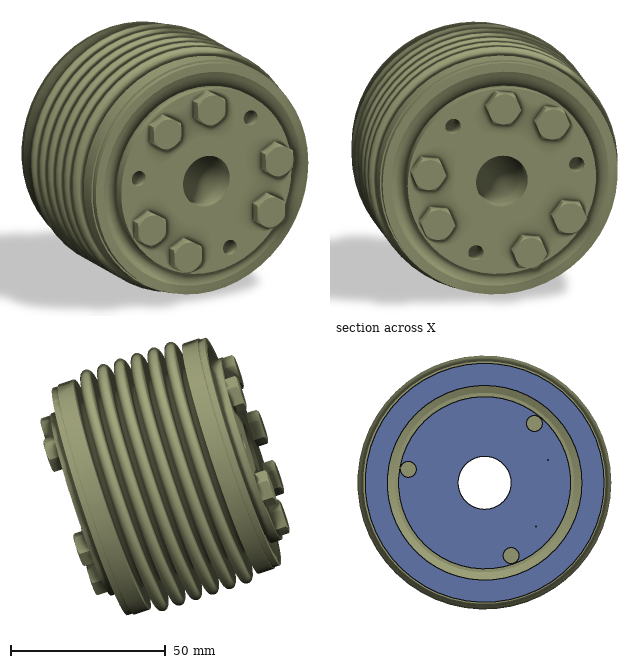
import cadquery as cq
import math

bellows_diameter = 82.0
overall_length = 66.0

hub_diameter = 62.0
hub_half_length = 29.1
hub_plate_thickness = 3.5
neck_diameter = 55.8
bore_diameter = 17.0

rim_diameter = 78.3
rim_inner_x = 18.5
rim_outer_x = 23.9
lip_diameter = 77.3
lip_outer_x = 26.1

recess_diameter = 71.5
recess_floor_diameter = 58.0
recess_depth = 3.0

crest_count = 6
crest_pitch = 5.7
crest_radius = 1.7
valley_radius = crest_pitch / 2 - crest_radius
root_diameter = 61.0

place_count = 9
place_circle_radius = 25.0
hole_diameter = 5.0
hole_depth = 10.0
head_width = 10.0
head_corner_diameter = head_width / math.cos(math.radians(30))
head_height = overall_length / 2 - hub_half_length
head_chamfer_angle = 30
left_head_turn = 7.5
right_head_turn = 30


def place_points(holes):
    """Return the (Y, Z) centres of the pin holes, or of the bolts."""
    points = []
    for index in range(place_count):
        if (index % 3 == 1) == holes:
            angle = math.radians(90 - index * 360 / place_count)
            points.append((place_circle_radius * math.cos(angle), place_circle_radius * math.sin(angle)))
    return points


def disc(diameter, start_x, end_x):
    """Return a solid cylinder on the X axis."""
    return cq.Workplane("YZ", origin=(start_x, 0, 0)).circle(diameter / 2).extrude(end_x - start_x)


def make_bellows():
    """Revolve the wavy outline: round crests joined by round valleys."""
    crest_radial = bellows_diameter / 2 - crest_radius
    valley_radial = root_diameter / 2 + valley_radius
    first_crest_x = -crest_pitch * (crest_count - 1) / 2
    wave_start_x = first_crest_x - crest_radius - 2 * valley_radius
    outline = (
        cq.Workplane("XY")
        .moveTo(-rim_inner_x, 0)
        .lineTo(-rim_inner_x, valley_radial)
        .lineTo(wave_start_x, valley_radial)
    )
    for index in range(crest_count):
        crest_x = first_crest_x + index * crest_pitch
        left_x = crest_x - crest_radius
        right_x = crest_x + crest_radius
        outline = (
            outline
            .threePointArc((left_x - valley_radius, root_diameter / 2), (left_x, valley_radial))
            .lineTo(left_x, crest_radial)
            .threePointArc((crest_x, bellows_diameter / 2), (right_x, crest_radial))
            .lineTo(right_x, valley_radial)
        )
    outline = (
        outline
        .threePointArc((-wave_start_x - valley_radius, root_diameter / 2), (-wave_start_x, valley_radial))
        .lineTo(rim_inner_x, valley_radial)
        .lineTo(rim_inner_x, 0)
        .close()
    )
    return outline.revolve(360, (0, 0, 0), (1, 0, 0))


def make_hub():
    """Build the hub and flange ring of the +X end, with its recess, neck, plate and pin holes."""
    ring = disc(rim_diameter, rim_inner_x, rim_outer_x).union(disc(lip_diameter, rim_outer_x, lip_outer_x))
    recess = (
        cq.Workplane("XY")
        .moveTo(lip_outer_x, 0)
        .lineTo(lip_outer_x, recess_diameter / 2)
        .lineTo(lip_outer_x - recess_depth, recess_floor_diameter / 2)
        .lineTo(lip_outer_x - recess_depth, 0)
        .close()
        .revolve(360, (0, 0, 0), (1, 0, 0))
    )
    neck = disc(neck_diameter, 0, hub_half_length)
    plate = disc(hub_diameter, hub_half_length - hub_plate_thickness, hub_half_length)
    hub = ring.cut(recess).union(neck).union(plate)
    holes = (
        cq.Workplane("YZ", origin=(hub_half_length, 0, 0))
        .pushPoints(place_points(True))
        .circle(hole_diameter / 2)
        .extrude(-hole_depth)
    )
    return hub.cut(holes)


def make_heads(turn):
    """Build the hexagon bolt heads of the +X end, with a corner `turn` degrees from +Y."""
    chamfer_width = (head_corner_diameter - head_width) / 2
    chamfer_depth = chamfer_width * math.tan(math.radians(head_chamfer_angle))
    hexagon = (
        cq.Workplane("YZ", origin=(hub_half_length, 0, 0))
        .polygon(6, head_corner_diameter)
        .extrude(head_height)
        .rotate((0, 0, 0), (1, 0, 0), turn)
    )
    envelope = (
        disc(head_corner_diameter, hub_half_length, overall_length / 2)
        .faces(">X")
        .chamfer(chamfer_depth, chamfer_width)
    )
    head = hexagon.intersect(envelope)
    heads = cq.Workplane("YZ")
    for y, z in place_points(False):
        heads = heads.union(head.translate((0, y, z)))
    return heads


right_end = make_hub().union(make_heads(right_head_turn))
left_end = make_hub().union(make_heads(left_head_turn)).mirror("YZ")
bore = disc(bore_diameter, -overall_length / 2, overall_length / 2)

result = make_bellows().union(right_end).union(left_end).cut(bore)